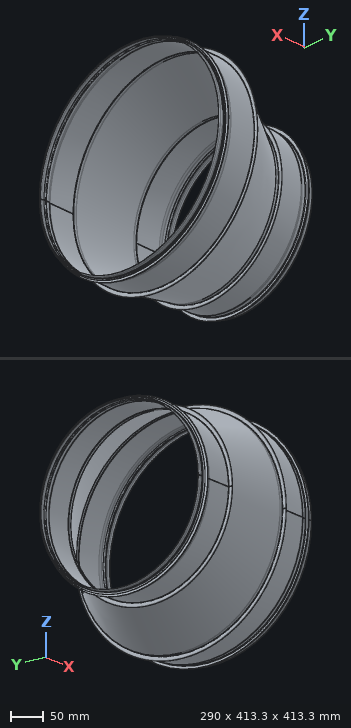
import cadquery as cq
import math


total_length = 290.0
small_diameter = 313.5
large_diameter = 399.0
large_flange_diameter = 413.3
axis_offset = (large_diameter - small_diameter) / 2

sheet = 0.6
flange_thickness = 1.0
flange_height = (large_flange_diameter - large_diameter) / 2
small_collar_length = 75.2
large_collar_length = 76.0
neck_length = 5.8
seam_gap = 0.5

curl_radius = 1.85
curl_depth = 3.0

groove_depth = 1.5
groove_start = 6.0
groove_step_length = 3.7
small_groove_exit = 21.5
large_groove_exit = 20.5

gasket_start = groove_start + groove_step_length
gasket_base_height = -0.6
small_short_lip_height = 2.7
large_short_lip_height = 1.5
short_lip_tip = 11.0
short_lip_tip_width = 1.0
short_lip_root_end = 10.5
small_tall_lip_height = 5.5
large_tall_lip_height = 4.0
tall_lip_start = 14.0
tall_lip_width = 1.45
gasket_end = tall_lip_start + tall_lip_width


def revolve_about_x(profile, angle=360):
    """Close an (x, radius) profile and revolve it about the X axis."""
    return profile.close().revolve(angle, (0, 0, 0), (1, 0, 0))


def make_collar(diameter, length, groove_exit):
    """Rolled collar, slit along -Y, with its free end at x = 0 and its flanged end at x = length."""
    outer = diameter / 2
    inner = outer - sheet
    entry_middle = groove_start + groove_step_length / 2
    exit_middle = groove_exit + groove_step_length / 2
    groove_resume = groove_exit + groove_step_length
    half_depth = groove_depth / 2
    flange_back = length - flange_thickness
    flange_radius = outer + flange_height

    profile = (
        cq.Workplane("XY")
        .moveTo(0, outer - curl_depth)
        .lineTo(0, outer - curl_radius)
        .tangentArcPoint((curl_radius, outer), relative=False)
        .lineTo(groove_start, outer)
        .tangentArcPoint((entry_middle, outer - half_depth), relative=False)
        .tangentArcPoint((gasket_start, outer - groove_depth), relative=False)
        .lineTo(groove_exit, outer - groove_depth)
        .tangentArcPoint((exit_middle, outer - half_depth), relative=False)
        .tangentArcPoint((groove_resume, outer), relative=False)
        .lineTo(flange_back, outer)
        .lineTo(flange_back, flange_radius - flange_thickness)
        .tangentArcPoint((length, flange_radius), relative=False)
        .lineTo(length, inner)
        .lineTo(groove_resume, inner)
        .tangentArcPoint((exit_middle, inner - half_depth), relative=False)
        .tangentArcPoint((groove_exit, inner - groove_depth), relative=False)
        .lineTo(gasket_start, inner - groove_depth)
        .tangentArcPoint((entry_middle, inner - half_depth), relative=False)
        .tangentArcPoint((groove_start, inner), relative=False)
        .lineTo(curl_radius, inner)
        .tangentArcPoint((sheet, outer - curl_radius), relative=False)
        .lineTo(sheet, outer - curl_depth)
    )
    half_gap_angle = math.degrees(math.asin(seam_gap / diameter))
    rolled = revolve_about_x(profile, 360 - 2 * half_gap_angle)
    return rolled.rotate((0, 0, 0), (1, 0, 0), 180 + half_gap_angle)


def make_gasket(diameter, short_lip_height, tall_lip_height):
    """Gasket in the groove of a collar whose free end is at x = 0."""
    surface = diameter / 2
    floor = surface - groove_depth
    base = surface + gasket_base_height
    short_lip = surface + short_lip_height
    tall_lip = surface + tall_lip_height

    profile = (
        cq.Workplane("XY")
        .moveTo(gasket_start, floor)
        .lineTo(gasket_start, surface)
        .lineTo(short_lip_tip - short_lip_tip_width, short_lip)
        .lineTo(short_lip_tip, short_lip)
        .lineTo(short_lip_root_end, base)
        .lineTo(tall_lip_start, base)
        .lineTo(tall_lip_start, tall_lip)
        .lineTo(gasket_end, tall_lip)
        .lineTo(gasket_end, floor)
    )
    return revolve_about_x(profile)


def to_large_end(body):
    """Turn a body built at the small end round, onto the large end and its axis."""
    return body.mirror("YZ").translate((total_length, axis_offset, 0))


def make_transition_fill(inset):
    """Solid necks and taper of the transition, with every radius reduced by inset."""
    small_radius = small_diameter / 2 - inset
    large_radius = large_diameter / 2 - inset
    joint = total_length - large_collar_length
    neck_end = small_collar_length + neck_length
    taper_length = joint - neck_length - neck_end

    small_neck = (
        cq.Workplane("YZ", origin=(small_collar_length, 0, 0)).circle(small_radius).extrude(neck_length)
    )
    taper = (
        cq.Workplane("YZ", origin=(neck_end, 0, 0))
        .circle(small_radius)
        .workplane(offset=taper_length)
        .center(axis_offset, 0)
        .circle(large_radius)
        .loft(ruled=True)
    )
    large_neck = (
        cq.Workplane("YZ", origin=(joint, axis_offset, 0)).circle(large_radius).extrude(-neck_length)
    )
    return small_neck.union(taper).union(large_neck)


def make_joint_flange(diameter):
    """Flange ring from x = 0 to x = flange_thickness, its rim rounded on the far side."""
    inner = diameter / 2 - sheet
    rim = diameter / 2 + flange_height
    profile = (
        cq.Workplane("XY")
        .moveTo(flange_thickness, inner)
        .lineTo(flange_thickness, rim - flange_thickness)
        .tangentArcPoint((0, rim), relative=False)
        .lineTo(0, inner)
    )
    return revolve_about_x(profile)


def make_transition():
    """Hollow transition with a flange at each end."""
    small_flange = make_joint_flange(small_diameter).translate((small_collar_length, 0, 0))
    large_flange = to_large_end(make_joint_flange(large_diameter).translate((large_collar_length, 0, 0)))
    shell = make_transition_fill(0).cut(make_transition_fill(sheet))
    return shell.union(small_flange).union(large_flange).solids()


small_collar = make_collar(small_diameter, small_collar_length, small_groove_exit)
small_gasket = make_gasket(small_diameter, small_short_lip_height, small_tall_lip_height)
large_collar = to_large_end(make_collar(large_diameter, large_collar_length, large_groove_exit))
large_gasket = to_large_end(make_gasket(large_diameter, large_short_lip_height, large_tall_lip_height))
transition = make_transition()

result = cq.Compound.makeCompound(
    [
        small_collar.val(),
        small_gasket.val(),
        transition.val(),
        large_collar.val(),
        large_gasket.val(),
    ]
)